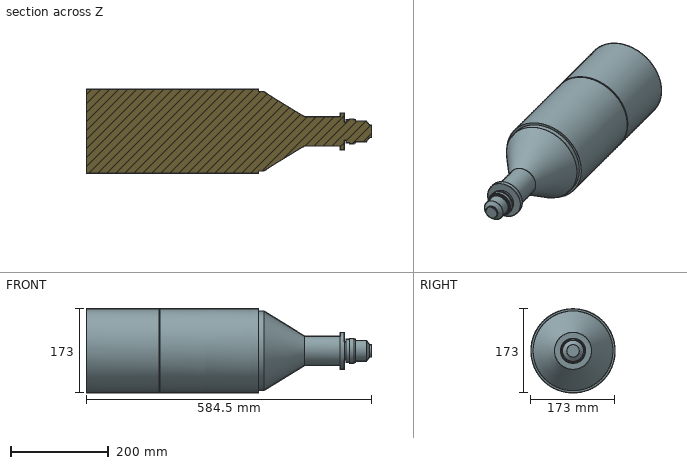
import cadquery as cq

total_length = 584.5

body_radius = 86.5
body_end = 353.0
groove_start = 148.5
groove_width = 2.5
groove_depth = 0.3
body_joint = 243.0
rim_start = 338.5

collar_radius = 82.0
collar_step_end = 355.0
collar_end = 363.5

neck_radius = 30.5
cone_end = 447.5
neck_start = 453.0

flange_radius = 38.0
flange_start = 520.5
flange_end = 529.0

recess_radius = 19.0
shoulder_radius = 24.0
shoulder_start = 532.0
ring_radius = 26.0
ring_start = 539.0
ring_end = 548.5
shoulder_end = 552.0

nozzle_radius = 21.5
nozzle_end = 574.0
taper_end = 580.5
taper_middle = 578.0
mouth_radius = 13.0
taper_slope = (nozzle_radius - mouth_radius) / (taper_end - nozzle_end)
taper_middle_radius = nozzle_radius - taper_slope * (taper_middle - nozzle_end)

groove_end = groove_start + groove_width
groove_radius = body_radius - groove_depth

outline = [
    (0, 0),
    (0, body_radius),
    (groove_start, body_radius),
    (groove_start, groove_radius),
    (groove_end, groove_radius),
    (groove_end, body_radius),
    (body_joint, body_radius),
    (rim_start, body_radius),
    (body_end, body_radius),
    (body_end, collar_radius),
    (collar_step_end, collar_radius),
    (collar_end, collar_radius),
    (cone_end, neck_radius),
    (neck_start, neck_radius),
    (flange_start, neck_radius),
    (flange_start, flange_radius),
    (flange_end, flange_radius),
    (flange_end, recess_radius),
    (shoulder_start, recess_radius),
    (shoulder_start, shoulder_radius),
    (ring_start, shoulder_radius),
    (ring_start, ring_radius),
    (ring_end, ring_radius),
    (ring_end, shoulder_radius),
    (shoulder_end, shoulder_radius),
    (shoulder_end, nozzle_radius),
    (nozzle_end, nozzle_radius),
    (taper_middle, taper_middle_radius),
    (taper_end, mouth_radius),
    (total_length, mouth_radius),
    (total_length, 0),
]

axis_start = (0, 0, 0)
axis_end = (1, 0, 0)
profile = cq.Workplane("XZ").polyline(outline).close()
result = profile.revolve(360, axis_start, axis_end, clean=False)